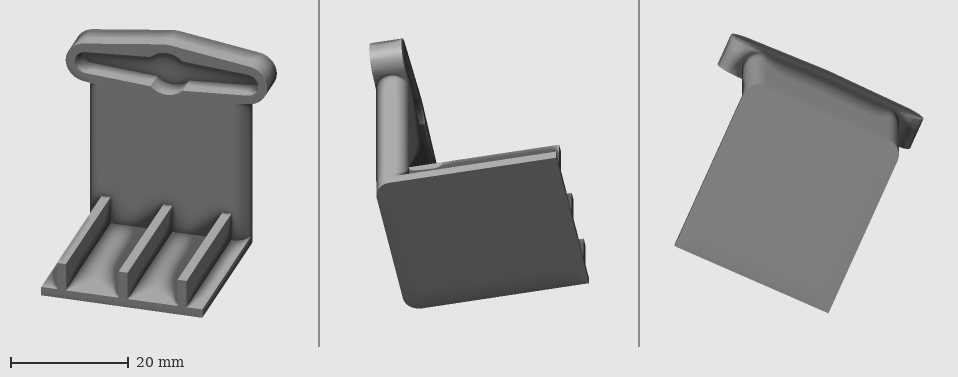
import cadquery as cq
import math

wall_width = 28.6
wall_thickness = 5.58
round_radius = wall_thickness / 2
flat_width = wall_width - 2 * round_radius

depth = 31.6
base_thickness = 1.6
rib_thickness = 1.6
rib_top = 6.62
middle_rib_offset = 0.25

height = 37.2
head_width = 35.78
head_center_radius = 5.58
head_end_radius = 3.6
head_z = height - head_center_radius
end_offset = head_width / 2 - head_end_radius

rim = 1.6
pocket_depth = 3.98
pocket_end_radius = head_end_radius - rim
pocket_center_radius = head_center_radius - rim
pocket_taper_radius = 2.98


def tapered_profile(plane, center_radius, end_radius):
    """Outline of a central circle joined by tangent lines to two end circles."""
    sine = (center_radius - end_radius) / end_offset
    cosine = math.sqrt(1 - sine**2)
    center_x = center_radius * sine
    center_y = center_radius * cosine
    end_x = end_offset + end_radius * sine
    end_y = end_radius * cosine
    tip_x = end_offset + end_radius
    return (
        plane.moveTo(-end_x, end_y)
        .lineTo(-center_x, center_y)
        .threePointArc((0, center_radius), (center_x, center_y))
        .lineTo(end_x, end_y)
        .threePointArc((tip_x, 0), (end_x, -end_y))
        .lineTo(center_x, -center_y)
        .threePointArc((0, -center_radius), (-center_x, -center_y))
        .lineTo(-end_x, -end_y)
        .threePointArc((-tip_x, 0), (-end_x, end_y))
        .close()
    )


def make_wall():
    return (
        cq.Workplane("XY")
        .center(0, -round_radius)
        .slot2D(wall_width, wall_thickness)
        .extrude(head_z)
    )


def make_base():
    length = depth - round_radius
    return cq.Workplane("XY").box(wall_width, length, base_thickness, centered=(True, False, False)).translate(
        (0, -depth, 0)
    )


def make_rib(center_x):
    length = depth - round_radius
    rib = cq.Workplane("XY").box(rib_thickness, length, rib_top, centered=(True, False, False))
    return rib.translate((center_x, -depth, 0))


def make_head():
    back = cq.Workplane("XZ", origin=(0, 0, head_z))
    return tapered_profile(back, head_center_radius, head_end_radius).extrude(wall_thickness)


def make_pocket():
    floor = cq.Workplane("XZ", origin=(0, pocket_depth - wall_thickness, head_z))
    slot = tapered_profile(floor, pocket_taper_radius, pocket_end_radius).extrude(pocket_depth)
    return slot.union(floor.circle(pocket_center_radius).extrude(pocket_depth))


outer_rib_x = (flat_width - rib_thickness) / 2

result = make_wall().union(make_base()).union(make_head())
for rib_x in (-outer_rib_x, middle_rib_offset, outer_rib_x):
    result = result.union(make_rib(rib_x))
result = result.cut(make_pocket())